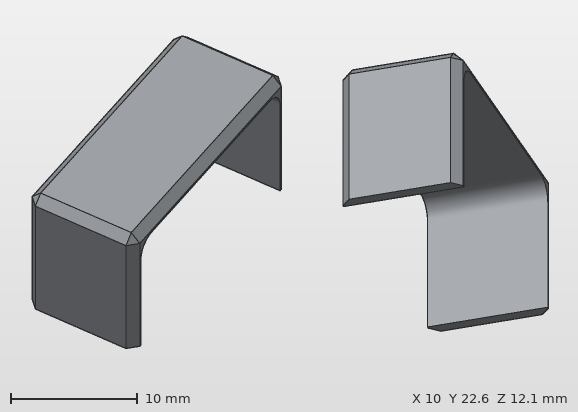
import cadquery as cq

width = 10.02
length = 22.6
height = 12.1

wall = 1.0
chamfer = 0.8
inner_radius = 1.6


def outer_block():
    """Solid block with chamfered top rim and upright corners."""
    block = cq.Workplane("XY").box(width, length, height, centered=(True, True, False))
    return block.edges("|Z or >Z").chamfer(chamfer)


def inner_channel():
    """Opening through X, from the base up to the underside of the top."""
    channel = cq.Workplane("XY").box(
        width, length - 2 * wall, height - wall, centered=(True, True, False)
    )
    return channel.edges("|X and >Z").fillet(inner_radius)


result = outer_block().cut(inner_channel())